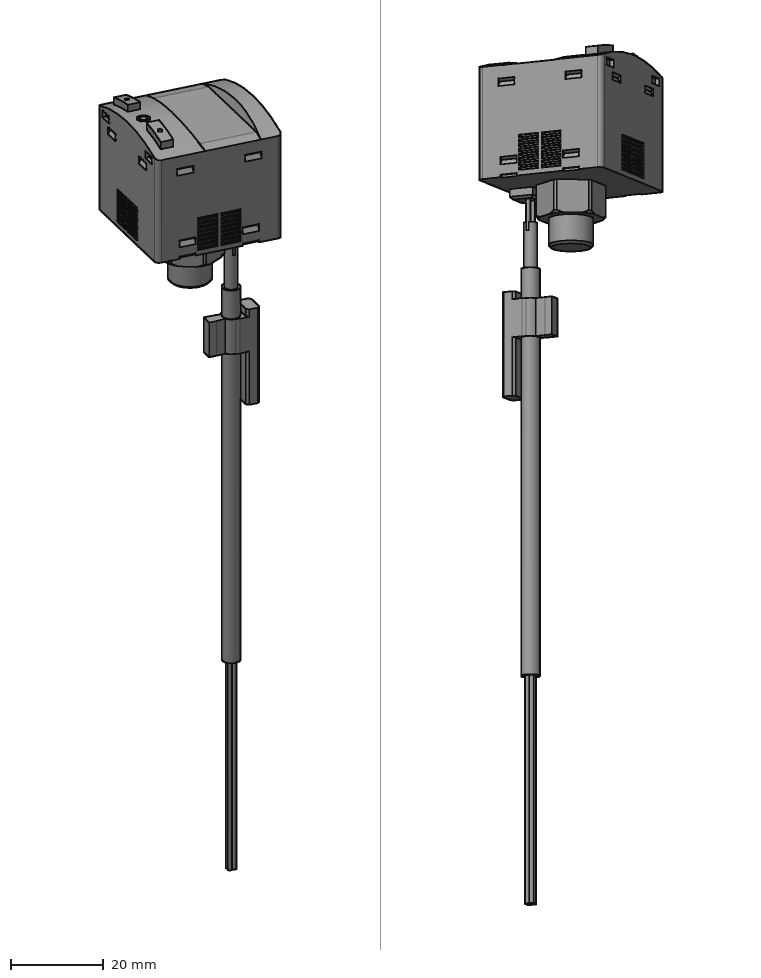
import cadquery as cq
import math


housing_side = 30.0
half_side = housing_side / 2
crown_height = 27.47
eave_height = 24.67
corner_radius = 1.1

lens_height = 25.23
display_back = 9.9
display_front = -3.4
display_wall_lean = 1.0
lens_width = 24.2

button_length = 7.3
button_width = 3.0
button_offset = 8.4
button_rise = 1.7
control_row = -11.08
dimple_diameter = 1.0
dimple_depth = 0.5
indicator_diameter = 3.0
indicator_lens_diameter = 1.7
indicator_depth = 0.5

latch_width = 4.0
latch_height = 1.7
latch_depth = 0.7
latch_lip = 0.5
latch_top = 21.8
front_latch_offset = 7.8
side_latch_offset = 8.1
low_latch_top = 4.5
low_latch_offset = 7.55
foot_notch_height = 0.5
foot_notch_depth = 0.5

window_width = 3.4
window_height = 1.7
window_depth = 1.0
window_offset = 10.9
window_top = 24.5

grille_width = 10.0
grille_gap = 1.0
grille_top = 9.0
slit_count = 8
slit_pitch = 1.02
slit_height = 0.5
slit_depth = 0.5

socket_side = 5.5
socket_height = 2.2
socket_y = 10.6
socket_chamfer = 0.5

hex_width = 13.5
hex_rounding_diameter = 15.0
hex_height = 7.3
hex_chamfer = 0.5
port_diameter = 9.7
port_end = -13.6
port_chamfer = 0.5

cable_y = 9.78
lead_diameter = 0.95
lead_offset = 1.1
lead_end = -9.1
jacket_diameter = 3.0
jacket_top = -7.3
sheath_diameter = 4.1
sheath_top = -17.41
sheath_end = -107.0
core_diameter = 1.0
core_offset = 0.52
overall_height = 186.2

clip_width = 5.0
clip_back = 15.55
plate_front = 12.38
plate_top = -22.44
plate_end = -45.5
plate_chamfer = 0.5
holder_top = -24.2
holder_end = -32.5
shoulder_y = 10.6
hug_radius = 2.33
neck_y = 7.8
neck_end = 5.5
nose_y = 4.0
nose_width = 2.8

roof_rise = crown_height - eave_height
roof_radius = (half_side ** 2 + roof_rise ** 2) / (2 * roof_rise)
roof_centre = crown_height - roof_radius


def roof_z(x, rise):
    """Height, at a given X, of the arch that runs a given rise outside the roof."""
    return roof_centre + math.sqrt((roof_radius + rise) ** 2 - x ** 2)


def block(x_size, y_size, z_low, z_high, x=0, y=0):
    """Upright block centred on (x, y) between two heights."""
    return cq.Workplane("XY").rect(x_size, y_size).extrude(z_high - z_low).translate((x, y, z_low))


def rod(diameter, z_low, z_high, x=0, y=0):
    """Upright cylinder between two heights."""
    return cq.Workplane("XY").circle(diameter / 2).extrude(z_high - z_low).translate((x, y, z_low))



def housing_block():
    profile = (
        cq.Workplane("XZ")
        .moveTo(-half_side, 0)
        .lineTo(half_side, 0)
        .lineTo(half_side, eave_height)
        .threePointArc((0, crown_height), (-half_side, eave_height))
        .close()
    )
    return profile.extrude(half_side, both=True).edges("|Z").fillet(corner_radius)


def display_recess():
    """Trough with leaning end walls around a bed that slopes down beside the flat lens."""
    trough = (
        cq.Workplane("YZ")
        .moveTo(display_front, eave_height)
        .lineTo(display_back, eave_height)
        .lineTo(display_back + display_wall_lean, crown_height)
        .lineTo(display_front - display_wall_lean, crown_height)
        .close()
        .extrude(half_side, both=True)
    )
    bed = (
        cq.Workplane("XZ")
        .moveTo(-half_side, eave_height)
        .lineTo(-lens_width / 2, lens_height)
        .lineTo(lens_width / 2, lens_height)
        .lineTo(half_side, eave_height)
        .close()
        .extrude(half_side, both=True)
    )
    return trough.cut(bed)


def button(x):
    """Raised button whose top follows the arch of the roof."""
    raised_roof = (
        cq.Workplane("XZ")
        .center(0, roof_centre)
        .circle(roof_radius + button_rise)
        .extrude(half_side, both=True)
    )
    body = block(button_length, button_width, eave_height, crown_height + button_rise, x, control_row)
    top = roof_z(x, button_rise)
    dimple = rod(dimple_diameter, top - dimple_depth, top + button_rise, x, control_row)
    return body.intersect(raised_roof).cut(dimple)


def indicator_groove():
    floor = crown_height - indicator_depth
    groove = rod(indicator_diameter, floor, crown_height, y=control_row)
    return groove.cut(rod(indicator_lens_diameter, floor, crown_height, y=control_row))


def latch_slot(offset, top):
    """Wedge cut into the -Y face, with a floor that slopes out and down."""
    return (
        cq.Workplane("YZ")
        .moveTo(-half_side, top)
        .lineTo(-half_side + latch_depth, top - latch_lip)
        .lineTo(-half_side, top - latch_height)
        .close()
        .extrude(latch_width / 2, both=True)
        .translate((offset, 0, 0))
    )


def face_pocket(width, height, depth, offset, top):
    """Rectangular pocket cut into the -Y face."""
    return block(width, 2 * depth, top - height, top, offset, -half_side)


def grille():
    """Slits in the -Y face, in two columns."""
    slit_width = (grille_width - grille_gap) / 2
    column_offset = (slit_width + grille_gap) / 2
    slits = cq.Workplane("XY")
    for row in range(slit_count):
        for side in (-1, 1):
            top = grille_top - row * slit_pitch
            slits = slits.add(face_pocket(slit_width, slit_height, slit_depth, side * column_offset, top))
    return slits.combine()


def to_side(cutter, turn):
    """Turn a cutter made for the -Y face about Z: -90 for the -X face, 90 for the +X face."""
    return cutter.rotate((0, 0, 0), (0, 0, 1), turn)


def socket():
    return (
        block(socket_side, socket_side, -socket_height, 0, y=socket_y)
        .faces("<Z")
        .edges()
        .chamfer(socket_chamfer)
    )


def make_housing():
    body = housing_block().cut(display_recess()).cut(indicator_groove()).cut(grille())
    for side in (-1, 1):
        body = body.union(button(side * button_offset))
        body = body.cut(latch_slot(side * front_latch_offset, latch_top))
        window_x = side * window_offset
        body = body.cut(face_pocket(window_width, window_height, window_depth, window_x, window_top))
    for turn in (-90, 90):
        body = body.cut(to_side(grille(), turn))
        for side in (-1, 1):
            low_offset = side * low_latch_offset
            notch_top = foot_notch_height
            notch = face_pocket(latch_width, foot_notch_height, foot_notch_depth, low_offset, notch_top)
            body = body.cut(to_side(latch_slot(side * side_latch_offset, latch_top), turn))
            body = body.cut(to_side(latch_slot(low_offset, low_latch_top), turn))
            body = body.cut(to_side(notch, turn))
    return body.union(socket())



def make_fitting():
    corner_diameter = hex_width / math.cos(math.pi / 6)
    hexagon = cq.Workplane("XY").polygon(6, corner_diameter).extrude(-hex_height)
    rounding = rod(hex_rounding_diameter, -hex_height, 0).faces("<Z").chamfer(hex_chamfer)
    port = rod(port_diameter, port_end, -hex_height).faces("<Z").chamfer(port_chamfer)
    return hexagon.intersect(rounding).union(port)



def make_cable(core_end):
    cable = rod(jacket_diameter, sheath_top, jacket_top, y=cable_y)
    cable = cable.union(rod(sheath_diameter, sheath_end, sheath_top, y=cable_y))
    for side in (-1, 1):
        for end in (-1, 1):
            core_y = cable_y + end * core_offset
            cable = cable.union(rod(core_diameter, core_end, sheath_end, side * core_offset, core_y))
        cable = cable.union(rod(lead_diameter, lead_end, -socket_height, side * lead_offset, cable_y))
    return cable



def clip_plate():
    depth = clip_back - plate_front
    plate = block(clip_width, depth, plate_end, plate_top, y=clip_back - depth / 2)
    return plate.edges("|Z").chamfer(plate_chamfer)


def clip_holder():
    """Hug around the cable that narrows through a neck to a flat nose."""
    neck_x = math.sqrt(hug_radius ** 2 - (cable_y - neck_y) ** 2)
    hug_angle = math.acos(neck_x / hug_radius) / 2
    hug_x = hug_radius * math.cos(hug_angle)
    hug_y = cable_y - hug_radius * math.sin(hug_angle)
    nose_x = nose_width / 2
    half = (
        cq.Workplane("XY")
        .moveTo(0, clip_back - plate_chamfer)
        .lineTo(clip_width / 2, clip_back - plate_chamfer)
        .lineTo(clip_width / 2, shoulder_y)
        .lineTo(hug_radius, cable_y)
        .threePointArc((hug_x, hug_y), (neck_x, neck_y))
        .lineTo(nose_x, neck_end)
        .lineTo(nose_x, nose_y)
        .lineTo(0, nose_y)
        .close()
        .extrude(holder_end - holder_top)
        .translate((0, 0, holder_top))
    )
    return half.union(half.mirror("YZ"))


def make_clip():
    bore = rod(sheath_diameter, holder_end, holder_top, y=cable_y)
    return clip_plate().union(clip_holder()).cut(bore)


highest_point = roof_z(button_offset - button_length / 2, button_rise)

housing = make_housing()
fitting = make_fitting()
cable = make_cable(highest_point - overall_height)
clip = make_clip()

result = cq.Compound.makeCompound([housing.val(), fitting.val(), cable.val(), clip.val()])